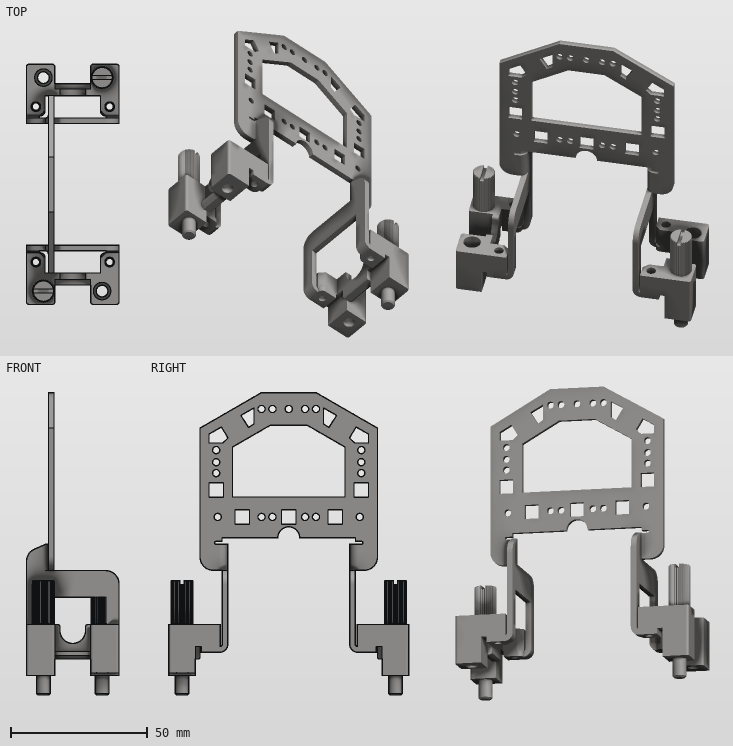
import cadquery as cq
import math


half_width = 34.0 / 2
half_depth = 88.0 / 2
frame_top = 103.6
screw_tip = -7.1

sheet = 2.1
bend_inner = 1.0
bend_outer = bend_inner + sheet
sheet_corner = 5.0

frame_x = -9.0
frame_half = 32.5
frame_bottom = 38.5
frame_top_half = 10.1
shoulder_angle = 30
slope = math.tan(math.radians(shoulder_angle))
frame_shoulder = frame_top - (frame_half - frame_top_half) * slope

window_half = 20.6
window_top_half = 6.8
window_bottom = 65.4
window_top = 91.7
window_shoulder = window_top - (window_half - window_top_half) * slope

throat_top = 50.5
throat_arc = 4.0
relief_height = 1.0
relief_half = 27.1

round_hole = 2.5
square_hole = 5.2
hole_near = 6.0
hole_far = 10.0
top_row_z = 97.6
low_row_z = 58.1
low_row_end = 26.0
low_square = 17.0
column_y = 26.6
column_hole_z = (74.2, 78.2, 82.6)
column_square_z = 68.0
upper_cutout = ((17.5, 95.3), (12.7, 98.0), (12.7, 92.2), (14.7, 90.9))
lower_cutout = ((29.1, 88.5), (24.7, 91.0), (22.3, 87.0), (24.1, 85.2), (29.1, 85.2))

bracket_y = 24.4
flag_top = 48.2
flag_angle = 24
opening_half = 12.2
opening_top = 28.7
tab_bottom = 8.5
tab_top = tab_bottom + sheet
tab_end = 32.1
tab_hole = 2.7

block_top = 18.8
leg_inner_x = 6.5
leg_inner_y = 34.2
short_leg_bottom = 1.0
leg_corner = 1.0
arm_inner_x = 10.1
arm_end_y = 25.0
arm_corner = 2.0
arm_hole = 3.5
arm_hole_x = 13.5
arm_hole_y = 28.5
web_inner_y = 32.4
web_outer_y = 34.9
web_bottom = 6.1
web_edge = 0.4
cradle_radius = 4.6
cradle_floor = 11.8
cradle_lip = 1.0
ledge_y = 36.9
ledge_top = 8.9
ledge_chamfer = 1.2

screw_x = 10.7
screw_y = 39.1
bore = 4.2
counterbore = 6.4
counterbore_floor = 7.7
shank = 5.1
shank_chamfer = 0.5
head_top = 34.9
head_radius = 4.1
knurl_depth = 0.39
knurl_count = 36
head_chamfer = 0.3
driver_width = 1.4
driver_depth = 1.4


def box(x, y, z):
    """Box between the given (min, max) pairs."""
    size = (x[1] - x[0], y[1] - y[0], z[1] - z[0])
    return cq.Workplane("XY").box(*size, centered=False).translate((x[0], y[0], z[0]))


def frame_prism(points):
    """(Y, Z) polygon extruded through the frame thickness."""
    return cq.Workplane("YZ", origin=(frame_x, 0, 0)).polyline(points).close().extrude(sheet)


def frame_rounds(points, diameter):
    """Round cutters through the frame at (Y, Z) points."""
    return cq.Workplane("YZ", origin=(frame_x, 0, 0)).pushPoints(points).circle(diameter / 2).extrude(sheet)


def gable(half, bottom, shoulder, top_half, top):
    """Symmetric (Y, Z) outline with two sloping shoulders."""
    return [(-half, bottom), (half, bottom), (half, shoulder),
            (top_half, top), (-top_half, top), (-half, shoulder)]


def make_frame():
    frame = frame_prism(gable(frame_half, frame_bottom, frame_shoulder, frame_top_half, frame_top))
    frame = frame.edges("|X").edges("<Z").fillet(sheet_corner)
    frame = frame.cut(frame_prism(gable(window_half, window_bottom, window_shoulder,
                                        window_top_half, window_top)))

    sheet_x = (frame_x, frame_x + sheet)
    bend_y = bracket_y + bend_inner
    frame = frame.cut(box(sheet_x, (-bracket_y, bracket_y), (flag_top, throat_top)))
    frame = frame.cut(box(sheet_x, (-bend_y, bend_y), (frame_bottom, flag_top)))
    frame = frame.cut(frame_rounds([(0, throat_top)], 2 * throat_arc))
    relief = (cq.Workplane("YZ", origin=(frame_x, 0, flag_top + relief_height / 2))
              .slot2D(2 * relief_half, relief_height).extrude(sheet))
    frame = frame.cut(relief)

    round_holes = [(0, top_row_z)]
    square_holes = [(0, low_row_z)]
    for side in (-1, 1):
        round_holes += [(side * y, z) for y in (hole_near, hole_far) for z in (top_row_z, low_row_z)]
        round_holes += [(side * column_y, z) for z in column_hole_z]
        round_holes.append((side * low_row_end, low_row_z))
        square_holes += [(side * low_square, low_row_z), (side * column_y, column_square_z)]
    frame = frame.cut(frame_rounds(round_holes, round_hole))

    squares = (cq.Workplane("YZ", origin=(frame_x, 0, 0)).pushPoints(square_holes)
               .rect(square_hole, square_hole).extrude(sheet))
    frame = frame.cut(squares)
    for cutout in (upper_cutout, lower_cutout):
        for side in (-1, 1):
            frame = frame.cut(frame_prism([(side * y, z) for y, z in cutout]))
    return frame


def quarter_bend():
    """Quarter-ring bend section centred on the origin, in the +X, -Y quadrant."""
    diagonal = math.sqrt(0.5)
    return (cq.Workplane("XY").moveTo(0, -bend_outer)
            .threePointArc((bend_outer * diagonal, -bend_outer * diagonal), (bend_outer, 0))
            .lineTo(bend_inner, 0)
            .threePointArc((bend_inner * diagonal, -bend_inner * diagonal), (0, -bend_inner))
            .close())


def make_bracket():
    """Bracket on the +Y side."""
    bend_x = frame_x - bend_inner
    bend_z = tab_top + bend_inner
    flag_drop = (bend_x + half_width) * math.tan(math.radians(flag_angle))
    plate = (cq.Workplane("XZ", origin=(0, bracket_y, 0))
             .polyline([(-half_width, bend_z), (half_width, bend_z), (half_width, frame_bottom),
                             (bend_x, frame_bottom), (bend_x, flag_top),
                             (-half_width, flag_top - flag_drop)])
             .close().extrude(sheet))
    for side in ("<X", ">X"):
        plate = plate.edges("|Y").edges(side).edges(">Z").fillet(sheet_corner)

    frame_bend = (quarter_bend().extrude(flag_top - frame_bottom)
                  .translate((bend_x, bracket_y + bend_inner, frame_bottom)))

    foot_bend = (quarter_bend().extrude(2 * half_width)
                 .rotate((0, 0, 0), (0, 1, 0), 90)
                 .translate((-half_width, bracket_y + bend_inner, bend_z)))
    bracket = plate.union(foot_bend)
    opening = box((-opening_half, opening_half), (bracket_y - sheet, bracket_y + bend_inner),
                  (tab_bottom, opening_top))
    bracket = bracket.cut(opening).union(frame_bend)

    tab = box((arm_inner_x, half_width), (arm_end_y, tab_end), (tab_bottom, tab_top))
    tab = tab.edges("|Z and <X and <Y").fillet(arm_corner)
    tab = tab.cut(cq.Workplane("XY").center(arm_hole_x, arm_hole_y).circle(tab_hole / 2).extrude(tab_top))
    return bracket.union(tab).union(tab.mirror("YZ"))


def make_leg(bottom):
    """Block leg with its arm, on the +X, +Y side."""
    leg = box((leg_inner_x, half_width), (leg_inner_y, half_depth), (bottom, block_top))
    leg = leg.edges("|Z and >Y").fillet(leg_corner)
    arm = box((arm_inner_x, half_width), (arm_end_y, leg_inner_y), (tab_top, block_top))
    arm = arm.edges("|Z and <X and <Y").chamfer(arm_corner)
    drill = cq.Workplane("XY").center(arm_hole_x, arm_hole_y).circle(arm_hole / 2).extrude(block_top)
    return leg.union(arm.cut(drill))


def make_web():
    """Cross web with a round-bottomed cradle and an outer ledge, on the +Y side."""
    web = box((-arm_inner_x, arm_inner_x), (web_inner_y, web_outer_y), (tab_top, block_top))
    cradle_z = cradle_floor + cradle_radius
    cradle = box((-cradle_radius, cradle_radius), (web_inner_y, web_outer_y), (cradle_z, block_top))
    arc = (cq.Workplane("XZ", origin=(0, web_outer_y, cradle_z))
           .circle(cradle_radius).extrude(web_outer_y - web_inner_y))
    web = web.cut(cradle).cut(arc)
    mouth = cq.selectors.BoxSelector((-arm_inner_x + cradle_lip, 0, cradle_z + cradle_lip),
                                     (arm_inner_x - cradle_lip, half_depth, block_top + cradle_lip))
    web = web.edges("|Y").edges(mouth).fillet(cradle_lip)

    profile = [(web_inner_y, tab_top), (web_outer_y, tab_top), (web_outer_y, ledge_top),
               (ledge_y, ledge_top), (ledge_y, web_bottom + ledge_chamfer),
               (ledge_y - ledge_chamfer, web_bottom), (web_inner_y + web_edge, web_bottom),
               (web_inner_y, web_bottom + web_edge)]
    skirt = (cq.Workplane("YZ", origin=(-leg_inner_x, 0, 0)).polyline(profile).close()
             .extrude(2 * leg_inner_x))
    return web.union(skirt)


def make_screw():
    """Knurled thumb screw on the +X, +Y side."""
    ring = []
    for i in range(2 * knurl_count):
        angle = math.pi * i / knurl_count
        radius = head_radius - knurl_depth * (i % 2)
        ring.append((radius * math.cos(angle), radius * math.sin(angle)))
    head_height = head_top - block_top
    head = cq.Workplane("XY").polyline(ring).close().extrude(head_height)
    envelope = cq.Workplane("XY").circle(head_radius).extrude(head_height)
    head = head.intersect(envelope.faces("<Z or >Z").chamfer(head_chamfer))
    driver = box((-head_radius, head_radius), (-driver_width / 2, driver_width / 2),
                 (head_height - driver_depth, head_height))
    head = head.cut(driver).translate((0, 0, block_top))
    body = (cq.Workplane("XY", origin=(0, 0, screw_tip)).circle(shank / 2)
            .extrude(block_top - screw_tip).faces("<Z").chamfer(shank_chamfer))
    return head.union(body).translate((screw_x, screw_y, 0))


def make_block():
    """Block on the +Y side: screw in the +X leg, empty counterbored hole in the -X leg."""
    screw_leg = make_leg(0).union(make_screw())
    drill = cq.Workplane("XY").center(screw_x, screw_y)
    open_leg = make_leg(short_leg_bottom).cut(drill.circle(bore / 2).extrude(block_top))
    recess = drill.circle(counterbore / 2).extrude(block_top - counterbore_floor)
    open_leg = open_leg.cut(recess.translate((0, 0, counterbore_floor)))
    return screw_leg.union(open_leg.mirror("YZ")).union(make_web())


bracket = make_bracket()
block = make_block()
result = make_frame().union(bracket).union(bracket.mirror("XZ"))
for turn in (0, 180):
    result = result.union(block.rotate((0, 0, 0), (0, 0, 1), turn))